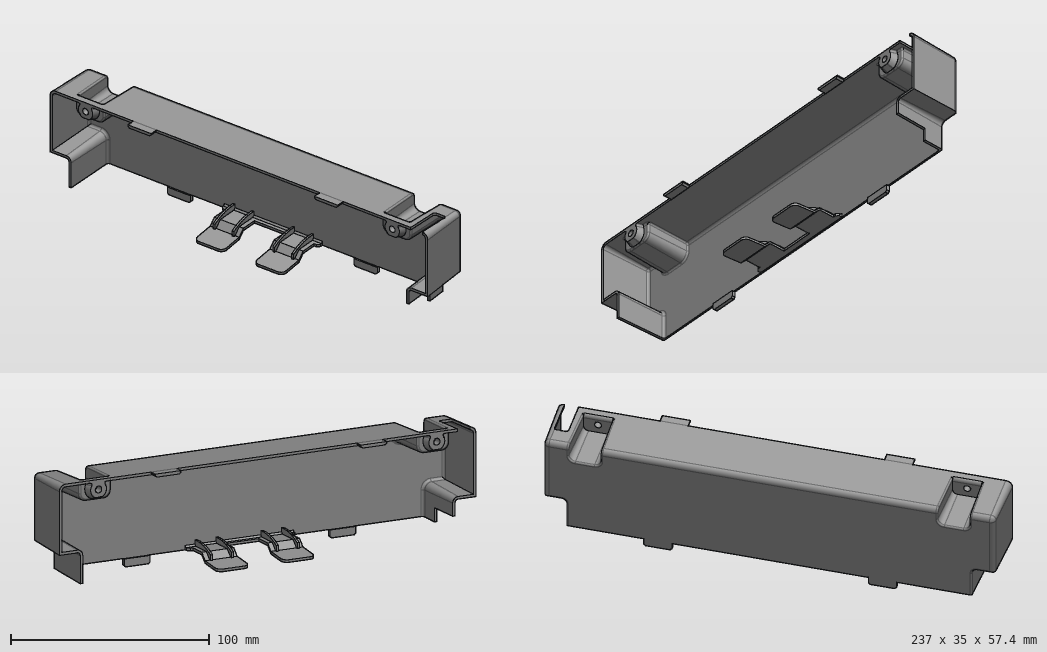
import cadquery as cq
import math


length = 237.0
depth = 30.5
top_z = 57.4
step_z = 20.6
lower_half = 106.6
back_bottom_z = 5.0
front_bottom_z = 4.3
wall = 1.5
back_wall = 1.0
draft = 1.8
top_corner_r = 3.5
shoulder_corner_r = 1.7
back_edge_r = 2.8
lower_back_edge_r = 1.0
inner_back_r = 1.5

window_x = (107.8, 115.2)
window_depth = 20.0
window_corner_r = 1.5
notch_top_z = 12.0
notch_depth = 18.5

pocket_x = 96.2
pocket_face_y = 3.8
pocket_half = 9.0
pocket_wall = 1.5
pocket_floor_z = 46.0
pocket_corner_r = 4.0
pocket_rim_r = 1.0
pocket_end_r = 2.1
pocket_root_r = 1.0
screw_z = 52.1
screw_d = 3.5
boss_r = 4.5
boss_flat_drop = 4.0
boss_draft = 20.0

fitting_x = -0.5
tab_x = 58.5
tab_width = 14.7
tab_corner = 1.0
top_tab_thick = 1.7
top_tab_reach = 4.5
low_tab_bottom_z = 0.7
low_tab_thick = 2.0
rail_length = 61.6
rail_reach = 3.0
rail_root_bevel = 1.0
rail_end_chamfer = 1.5
clip_x = 18.7
clip_width = 18.2
clip_thick = 1.5
clip_tip_y = 0.2
clip_tip_thick = 1.5
clip_corner_r = 3.0
paddle_root_y = 13.7
paddle_root_z = 1.5
clip_bend_y = 17.3
rib_offset = 6.0
rib_thick = 1.2
rib_top_z = 9.5
rib_end_y = 12.8
rib_end_z = 5.7
rib_mid = (19.0, 8.3)

back_inside_y = depth - back_wall
below = -11.8
margin = 2.4


def rear_facing(y):
    """Plane at the given Y whose normal is +Y; its local x runs along -X."""
    return cq.Workplane(cq.Plane((0, y, 0), (-1, 0, 0), (0, 1, 0)))


def box(x_range, y_range, z_range):
    """Box spanning the three given ranges."""
    spans = (x_range, y_range, z_range)
    sizes = [high - low for low, high in spans]
    corner = tuple(low for low, _ in spans)
    return cq.Workplane("XY").box(*sizes, centered=False).translate(corner)


def shell_blank(inset, blank_depth):
    """Shouldered outline, moved in by inset, extruded backward with draft."""
    top = top_z - inset
    half = length / 2 - inset
    step = step_z + inset
    lower = lower_half - inset
    right_side = [(half, top), (half, step), (lower, step), (lower, below)]
    left_side = [(-x, z) for x, z in reversed(right_side)]
    outline = (
        cq.Sketch()
        .polygon(right_side + left_side + right_side[:1])
        .vertices(">Y").fillet(top_corner_r - inset)
        .reset()
    )
    for side in (1, -1):
        inner_corner = cq.selectors.NearestToPointSelector((side * lower, step, 0))
        outline = outline.vertices(inner_corner).fillet(shoulder_corner_r + inset).reset()
    return rear_facing(0).placeSketch(outline).extrude(blank_depth, taper=draft)


def outer_body():
    """Solid envelope with its back edges rounded, more above the shoulders than below."""
    blank = shell_blank(0, depth)
    upper = cq.selectors.BoxSelector((-length, 0, step_z + back_edge_r), (length, 2 * depth, 2 * top_z))
    lower = cq.selectors.BoxSelector((-length, 0, 0), (length, 2 * depth, step_z - shoulder_corner_r))
    rounded_above = blank.faces(">Y").edges(upper).fillet(back_edge_r)
    rounded_below = blank.faces(">Y").edges(lower).fillet(lower_back_edge_r)
    return rounded_above.intersect(rounded_below)


def cavity():
    """Hollow inside the walls, rounded where it meets the back wall."""
    blank = shell_blank(wall, back_inside_y)
    return blank.faces(">Y").edges().fillet(inner_back_r)


def pocket_blank(x, inset, start_y, end_y):
    """U-shaped block at x, open upward, widening toward the back with draft."""
    half = pocket_half - inset
    floor = pocket_floor_z + inset
    height = top_z + margin - floor
    outline = (
        cq.Sketch()
        .push([(-x, floor + height / 2)])
        .rect(2 * half, height)
        .reset()
        .vertices("<Y").fillet(pocket_corner_r - inset)
    )
    return rear_facing(start_y).placeSketch(outline).extrude(end_y - start_y, taper=-draft)


def screw_boss(x):
    """Tapered round boss with a flat underside, from the front rim to the pocket end wall."""
    half_flat = math.sqrt(boss_r**2 - boss_flat_drop**2)
    return (
        rear_facing(0)
        .center(-x, screw_z)
        .moveTo(-half_flat, -boss_flat_drop)
        .threePointArc((0, boss_r), (half_flat, -boss_flat_drop))
        .close()
        .extrude(pocket_face_y + pocket_wall / 2, taper=-boss_draft)
    )


def screw_hole(x):
    """Hole through the boss and the pocket end wall."""
    return rear_facing(-margin).center(-x, screw_z).circle(screw_d / 2).extrude(depth)


def round_pocket_root(body, x):
    """Blend the outside of the pocket into the inner face of the back wall."""
    reach = pocket_half + margin
    gap = 0.02
    root = cq.selectors.BoxSelector(
        (x - reach, back_inside_y - gap, pocket_floor_z - margin),
        (x + reach, back_inside_y + gap, top_z - 2 * wall),
    )
    return body.edges(root).fillet(pocket_root_r)


def round_pocket_rim(body, x):
    """Round the pocket's edges where it opens through the top wall."""
    reach = pocket_half + margin
    rim = cq.selectors.BoxSelector(
        (x - reach, wall, top_z - margin),
        (x + reach, depth - back_edge_r, top_z),
    )
    return body.edges(rim).fillet(pocket_rim_r)


def pocket_lead_in(x):
    """Waste above the rounded front end of a pocket's opening."""
    end_y = pocket_face_y + pocket_wall
    on_slope = pocket_end_r * (1 - math.sqrt(0.5))
    return (
        cq.Workplane("YZ", origin=(x, 0, 0))
        .moveTo(end_y - pocket_end_r, top_z)
        .threePointArc((end_y - on_slope, top_z - on_slope), (end_y, top_z - pocket_end_r))
        .lineTo(end_y, top_z)
        .close()
        .extrude(pocket_half - pocket_wall, both=True)
    )


def top_tab(x):
    """Tab reaching forward from the front rim, flush with its top."""
    tab = box(
        (x - tab_width / 2, x + tab_width / 2),
        (-top_tab_reach, 0),
        (top_z - top_tab_thick, top_z),
    )
    return tab.edges("|Y and <Z").chamfer(tab_corner)


def low_tab(x):
    """Tab hanging from the back wall, with its lower corners cut off."""
    tab = box(
        (x - tab_width / 2, x + tab_width / 2),
        (depth - low_tab_thick, depth),
        (low_tab_bottom_z, back_bottom_z),
    )
    return tab.edges("|Y and <Z").chamfer(tab_corner)


def lower_trim():
    """Everything under the lower edge, which falls from the back wall to the front rim."""
    return (
        cq.Workplane("YZ", origin=(-length, 0, 0))
        .polyline([(-margin, below - margin), (-margin, front_bottom_z), (0, front_bottom_z),
                   (depth, back_bottom_z), (depth + margin, back_bottom_z),
                   (depth + margin, below - margin)])
        .close()
        .extrude(2 * length)
    )


def top_window():
    """Opening in the top wall at the right end, through to the front rim."""
    window = box(window_x, (-margin, window_depth), (top_z - 2 * wall, top_z + margin))
    return window.edges("|Z and >Y").fillet(window_corner_r)


def wall_notch():
    """Cut in the lower edge of the right side wall, from the front rim backward."""
    return box(
        (lower_half - 2 * margin, lower_half + margin),
        (-margin, notch_depth),
        (below, notch_top_z),
    )


def rail():
    """Ledge along the lower edge of the back wall that carries the clips."""
    front_y = back_inside_y - rail_reach
    top = back_bottom_z + clip_thick
    ledge = (
        cq.Workplane("YZ")
        .polyline([(back_inside_y, back_bottom_z), (front_y, back_bottom_z), (front_y, top),
                   (back_inside_y - rail_root_bevel, top), (back_inside_y, top + rail_root_bevel)])
        .close()
        .extrude(rail_length / 2, both=True)
    )
    return ledge.edges("|Z and <Y").chamfer(rail_end_chamfer).translate((fitting_x, 0, 0))


def clip(x):
    """Spring clip: flat root, slope down, long paddle, and two stiffening ribs."""
    root_top_z = back_bottom_z + clip_thick
    strip = (
        cq.Workplane("YZ")
        .polyline([(back_inside_y, back_bottom_z), (clip_bend_y, back_bottom_z),
                   (paddle_root_y, paddle_root_z), (clip_tip_y, 0),
                   (clip_tip_y, clip_tip_thick), (paddle_root_y, paddle_root_z + clip_thick),
                   (clip_bend_y, root_top_z), (back_inside_y, root_top_z)])
        .close()
        .extrude(clip_width / 2, both=True)
        .edges("|Z and <Y").fillet(clip_corner_r)
    )
    rib = (
        cq.Workplane("YZ")
        .moveTo(back_inside_y, rib_top_z)
        .threePointArc(rib_mid, (rib_end_y, rib_end_z))
        .lineTo(rib_end_y, paddle_root_z + clip_thick / 2)
        .lineTo(paddle_root_y, paddle_root_z + clip_thick / 2)
        .lineTo(clip_bend_y, back_bottom_z + clip_thick / 2)
        .lineTo(back_inside_y, back_bottom_z + clip_thick / 2)
        .close()
        .extrude(rib_thick / 2, both=True)
    )
    for side in (-1, 1):
        strip = strip.union(rib.translate((side * rib_offset, 0, 0)))
    return strip.translate((x, 0, 0))


envelope = outer_body()
result = envelope.cut(cavity())

for side in (-1, 1):
    x = side * pocket_x
    result = result.union(pocket_blank(x, 0, pocket_face_y, depth).intersect(envelope))
    result = round_pocket_root(result, x)
    result = result.union(screw_boss(x).intersect(envelope))
    result = result.cut(pocket_blank(x, pocket_wall, pocket_face_y + pocket_wall, depth + margin))
    result = result.cut(screw_hole(x))
    result = round_pocket_rim(result, x)
    result = result.cut(pocket_lead_in(x))

result = result.cut(lower_trim()).cut(top_window()).cut(wall_notch())

for side in (-1, 1):
    result = result.union(top_tab(fitting_x + side * tab_x))
    result = result.union(low_tab(fitting_x + side * tab_x))
    result = result.union(clip(fitting_x + side * clip_x))
result = result.union(rail())